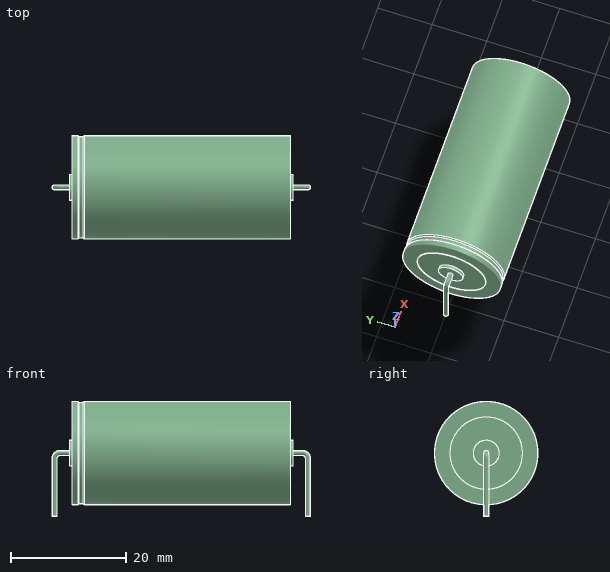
import cadquery as cq

overall_length = 44.9
overall_height = 20.0
can_length = 38.0
can_diameter = 18.0
can_radius = can_diameter / 2
rim_radius = 0.15

recess_diameter = 12.55
recess_depth = 0.1

groove_start = 1.1
groove_floor_start = 1.2
groove_floor_end = 1.9
groove_end = 2.15
groove_depth = 0.2

bushing_diameter = 4.5
bushing_height = 0.45

wire_diameter = 0.9
bend_radius = 0.9
lead_drop = overall_height - can_radius

can_end = can_length / 2
lead_x = (overall_length - wire_diameter) / 2


def make_can():
    """Solid cylinder with rounded rims, recessed end faces and a crimp groove."""
    can = cq.Workplane("YZ").circle(can_radius).extrude(can_length).edges().fillet(rim_radius)
    cutter_radius = can_radius + groove_depth
    floor_radius = can_radius - groove_depth
    groove = (
        cq.Workplane("XY")
        .moveTo(groove_start, cutter_radius)
        .lineTo(groove_start, can_radius)
        .lineTo(groove_floor_start, floor_radius)
        .lineTo(groove_floor_end, floor_radius)
        .lineTo(groove_end, can_radius)
        .lineTo(groove_end, cutter_radius)
        .close()
        .revolve(360, (0, 0, 0), (1, 0, 0))
    )
    recess = cq.Workplane("YZ").circle(recess_diameter / 2).extrude(recess_depth)
    for recess_x in (0, can_length - recess_depth):
        can = can.cut(recess.translate((recess_x, 0, 0)))
    return can.cut(groove).translate((-can_end, 0, 0))


def make_terminal():
    """Bushing and downward-bent lead at the +X end."""
    recess_floor_x = can_end - recess_depth
    bushing = (
        cq.Workplane("YZ", origin=(recess_floor_x, 0, 0))
        .circle(bushing_diameter / 2)
        .extrude(recess_depth + bushing_height)
    )
    path = (
        cq.Workplane("XZ")
        .moveTo(can_end, 0)
        .lineTo(lead_x - bend_radius, 0)
        .radiusArc((lead_x, -bend_radius), bend_radius)
        .lineTo(lead_x, -lead_drop)
    )
    lead = cq.Workplane("YZ", origin=(can_end, 0, 0)).circle(wire_diameter / 2).sweep(path)
    return bushing.union(lead)


terminal = make_terminal()
result = make_can().union(terminal).union(terminal.mirror("YZ"))